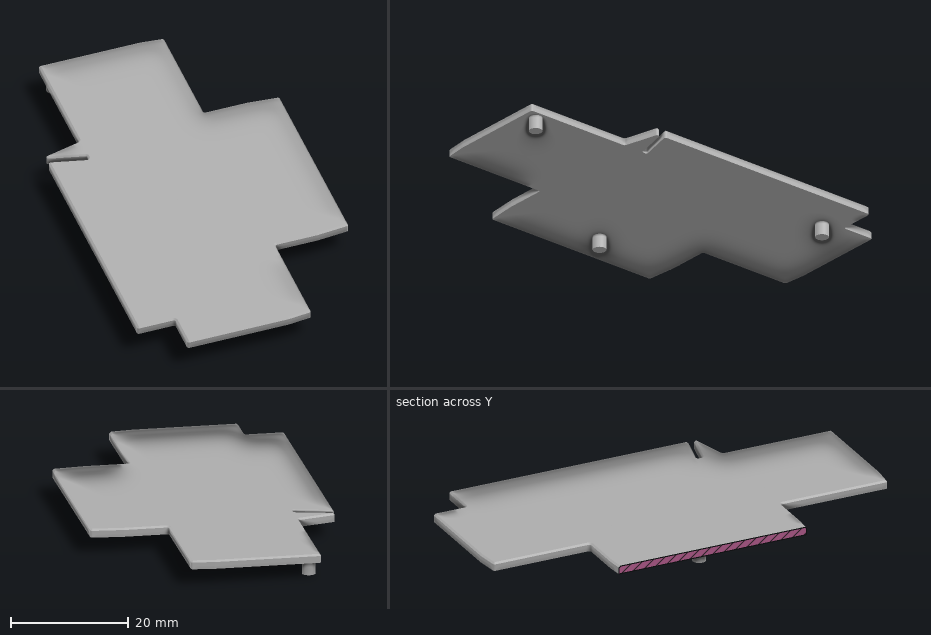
import cadquery as cq
import math

length = 75.7
width = 42.8
thickness = 1.5
edge_chamfer = 0.3
corner_radius = 0.4

arm_front = 6.8
arm_back = 29.3
arm_taper_start = 25.1
arm_taper = 0.45
tab_left = 20.75
tab_right = 56.9
tab_taper_start = 37.0
tab_taper = 0.5

tongue_right = 69.4
tooth_root = 20.7
slot_mouth_right = 23.9
slot_gap = 1.05
slant_angle = 14.0
slant_slope = math.tan(math.radians(slant_angle))
slant_run = arm_front * slant_slope
slot_mouth_left = slot_mouth_right - slot_gap
tooth_tip_radius = 0.4
slot_end_radius = 0.3

pin_diameter = 2.35
pin_length = 2.5
pin_centers = [(2.35, 8.55), (39.6, 36.0), (65.55, 8.0)]

tooth_half_width = (slot_mouth_left - tooth_root - slant_run) / 2
tooth_point = (slot_mouth_left - tooth_half_width, -tooth_half_width / slant_slope)
slot_end = [(slot_mouth_left + slant_run, arm_front), (slot_mouth_right + slant_run, arm_front)]
square_corners = [
    (0, arm_front),
    (tooth_root, arm_front),
    (slot_mouth_right, 0),
    (tongue_right, 0),
    (tongue_right, arm_front),
    (length, arm_front),
    (length - arm_taper, arm_back),
    (tab_right, arm_back),
    (tab_right - tab_taper, width),
    (tab_left + tab_taper, width),
    (tab_left, arm_back),
    (arm_taper, arm_back),
]


def round_corners(body, corners, radius):
    """Round the upright edges that stand at the given outline corners."""
    for x, y in corners:
        edge = cq.selectors.NearestToPointSelector((x, y, thickness / 2))
        body = body.edges("|Z").edges(edge).fillet(radius)
    return body


def make_plate():
    """Plate with rounded outline corners and a chamfered top rim."""
    outline = [
        *square_corners[:2],
        tooth_point,
        *slot_end,
        *square_corners[2:6],
        (length, arm_taper_start),
        *square_corners[6:8],
        (tab_right, tab_taper_start),
        *square_corners[8:10],
        (tab_left, tab_taper_start),
        *square_corners[10:],
        (0, arm_taper_start),
    ]
    plate = cq.Workplane("XY").polyline(outline).close().extrude(thickness)
    plate = round_corners(plate, square_corners, corner_radius)
    plate = round_corners(plate, [tooth_point], tooth_tip_radius)
    plate = round_corners(plate, slot_end, slot_end_radius)
    return plate.faces(">Z").chamfer(edge_chamfer)


def make_pins():
    """Round pins hanging from the underside."""
    return cq.Workplane("XY").pushPoints(pin_centers).circle(pin_diameter / 2).extrude(-pin_length)


result = make_plate().union(make_pins())